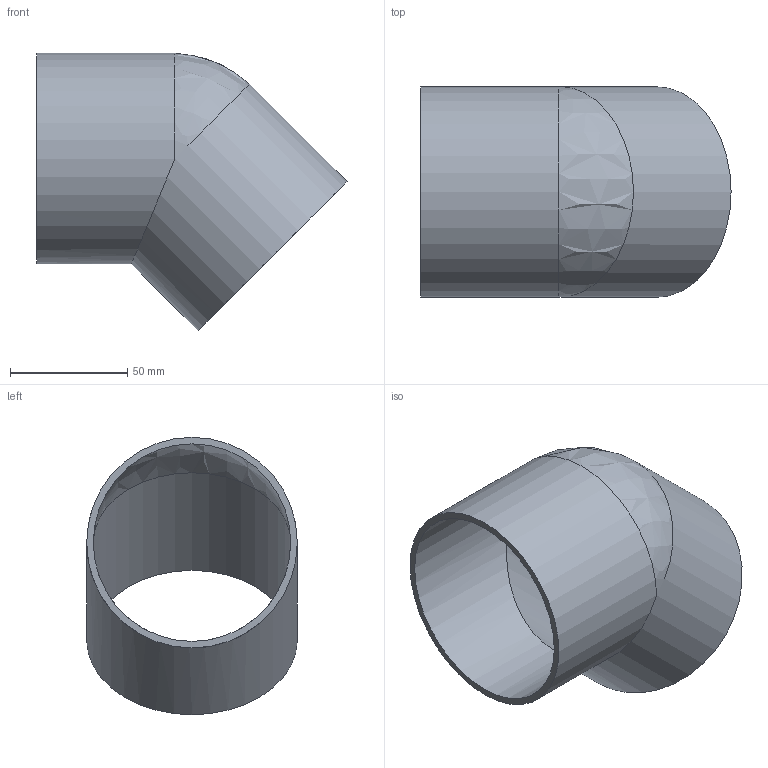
import cadquery as cq

OUTER_DIAMETER = 90.0
BORE_DIAMETER = 84.4
LEG_LENGTH = 59.0
BEND_ANGLE = 45.0


def bend_down(shape):
    """Turn a shape about the Y axis through the bend angle, from +X toward -Z."""
    return shape.rotate((0, 0, 0), (0, 1, 0), BEND_ANGLE)


def corner_wedge(radius):
    """Ball sector that fills the gap between the two leg ends on the outer side of the bend."""
    half_disc = cq.Workplane("YZ").moveTo(-radius, 0).threePointArc((0, radius), (radius, 0)).close()
    return half_disc.revolve(BEND_ANGLE, (0, 0), (1, 0))


def elbow_body(diameter):
    """Solid elbow of one diameter: inlet leg, corner and outlet leg."""
    radius = diameter / 2
    inlet_leg = cq.Workplane("YZ").circle(radius).extrude(-LEG_LENGTH)
    outlet_leg = bend_down(cq.Workplane("YZ").circle(radius).extrude(LEG_LENGTH))
    return inlet_leg.union(outlet_leg).union(corner_wedge(radius))


result = elbow_body(OUTER_DIAMETER).cut(elbow_body(BORE_DIAMETER))